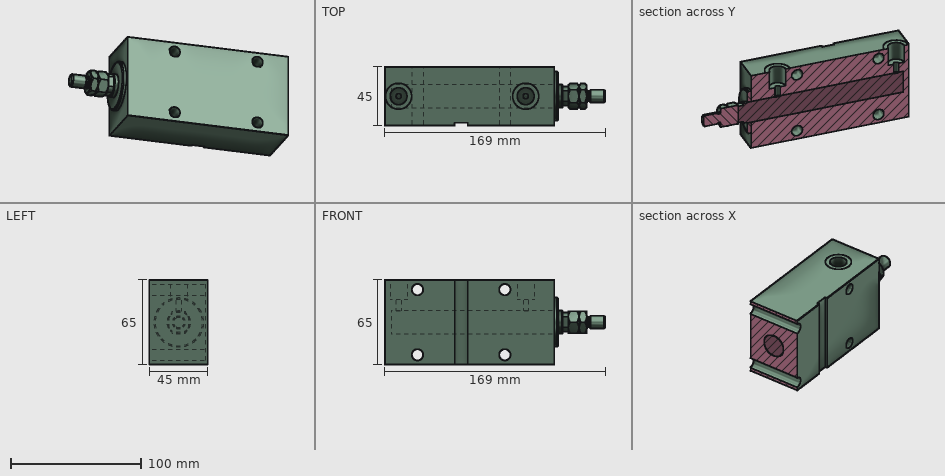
import cadquery as cq
import math

overall_length = 169.0

block_length = 130.0
block_depth = 45.0
block_height = 65.0
block_edge_chamfer = 0.3

bolt_hole_diameter = 8.5
bolt_hole_spacing_x = 67.0
bolt_hole_spacing_z = 50.0
first_bolt_hole_x = 25.0
bolt_pattern_center_x = first_bolt_hole_x + bolt_hole_spacing_x / 2

slot_start = 53.5
slot_width = 10.0
slot_depth = 2.0

port_positions = (10.5, 108.0)
spotface_diameter = 20.0
spotface_depth = 0.1
port_diameter = 13.0
port_depth = 15.0
oil_hole_diameter = 4.0
oil_hole_depth = block_height / 2

gland_diameter = 38.0
gland_length = 3.0
gland_chamfer = 1.0
gland_end = block_length + gland_length

rod_diameter = 18.0
rod_start = 5.0
rod_collar_end = 136.3
rod_chamfer = 0.5
flats_round_diameter = 17.0
width_across_flats = 15.0
rod_end = 140.5

hex_width = 17.0
hex_corner_diameter = hex_width / math.cos(math.radians(30))
hex_face_diameter = 16.6
hex_chamfer = (hex_corner_diameter - hex_face_diameter) / 2
lock_hex_length = 8.4
shoulder_hex_length = 6.0
shoulder_hex_start = rod_end + lock_hex_length
shoulder_hex_end = shoulder_hex_start + shoulder_hex_length
stud_diameter = 10.0
stud_chamfer = 1.0
relief_diameter = 8.0
relief_root_diameter = 9.4
relief_length = 3.0
relief_taper = (stud_diameter - relief_diameter) / 2
relief_root_taper = (relief_root_diameter - relief_diameter) / 2
stud_start = shoulder_hex_end + relief_length


def turned(stations):
    """Solid of revolution about X through (position, diameter) stations."""
    outline = [(position, diameter / 2) for position, diameter in stations]
    start = (stations[0][0], 0)
    end = (stations[-1][0], 0)
    profile = cq.Workplane("XZ").polyline([start, *outline, end]).close()
    return profile.revolve(360, (0, 0, 0), (1, 0, 0))


def cylinder(diameter, start, end):
    return turned([(start, diameter), (end, diameter)])


def chamfered_hexagon(start, length):
    """Hexagon along X with two flats facing up and down and both ends chamfered."""
    end = start + length
    prism = cq.Workplane("YZ").workplane(offset=start).polygon(6, hex_corner_diameter).extrude(length)
    envelope = turned([
        (start, hex_face_diameter),
        (start + hex_chamfer, hex_corner_diameter),
        (end - hex_chamfer, hex_corner_diameter),
        (end, hex_face_diameter),
    ])
    return prism.intersect(envelope)


def bolt_holes():
    return (
        cq.Workplane("XZ")
        .center(bolt_pattern_center_x, 0)
        .rarray(bolt_hole_spacing_x, bolt_hole_spacing_z, 2, 2)
        .circle(bolt_hole_diameter / 2)
        .extrude(block_depth, both=True)
    )


def key_slot():
    slot = cq.Workplane("XY").box(slot_width, slot_depth, block_height, centered=(False, False, True))
    return slot.translate((slot_start, -block_depth / 2, 0))


def oil_port(position):
    """Spotface, port and oil hole stepping down from the top face."""
    top = cq.Workplane("XY", origin=(position, 0, block_height / 2))
    spotface = top.circle(spotface_diameter / 2).extrude(-spotface_depth)
    port = top.circle(port_diameter / 2).extrude(-port_depth)
    oil_hole = top.circle(oil_hole_diameter / 2).extrude(-oil_hole_depth)
    return spotface.union(port).union(oil_hole)


def make_housing():
    block = cq.Workplane("XY").box(block_length, block_depth, block_height, centered=(False, True, True))
    block = block.edges("|X").chamfer(block_edge_chamfer)
    block = block.cut(bolt_holes()).cut(key_slot())
    for position in port_positions:
        block = block.cut(oil_port(position))
    rod_bore = cylinder(rod_diameter, rod_start, block_length)
    return block.cut(rod_bore)


def make_gland():
    ring = turned([
        (block_length, gland_diameter),
        (gland_end - gland_chamfer, gland_diameter),
        (gland_end, gland_diameter - 2 * gland_chamfer),
    ])
    return ring.cut(cylinder(rod_diameter, block_length, gland_end))


def make_rod():
    shaft = turned([
        (rod_start, rod_diameter),
        (rod_collar_end - rod_chamfer, rod_diameter),
        (rod_collar_end, rod_diameter - 2 * rod_chamfer),
    ])
    flats_length = rod_end - rod_collar_end
    square = (
        cq.Workplane("YZ")
        .workplane(offset=rod_collar_end)
        .rect(width_across_flats, width_across_flats)
        .extrude(flats_length)
    )
    wrench_flats = cylinder(flats_round_diameter, rod_collar_end, rod_end).intersect(square)
    return shaft.union(wrench_flats)


def make_end_piece():
    lock_hex = chamfered_hexagon(rod_end, lock_hex_length)
    shoulder_hex = chamfered_hexagon(shoulder_hex_start, shoulder_hex_length)
    stud = turned([
        (shoulder_hex_end, relief_root_diameter),
        (shoulder_hex_end + relief_root_taper, relief_diameter),
        (stud_start - relief_taper, relief_diameter),
        (stud_start, stud_diameter),
        (overall_length - stud_chamfer, stud_diameter),
        (overall_length, stud_diameter - 2 * stud_chamfer),
    ])
    return lock_hex.union(shoulder_hex).union(stud)


housing = make_housing()
gland = make_gland()
rod = make_rod()
end_piece = make_end_piece()

bodies = [housing, gland, rod, end_piece]
result = cq.Compound.makeCompound([body.solids().val() for body in bodies])